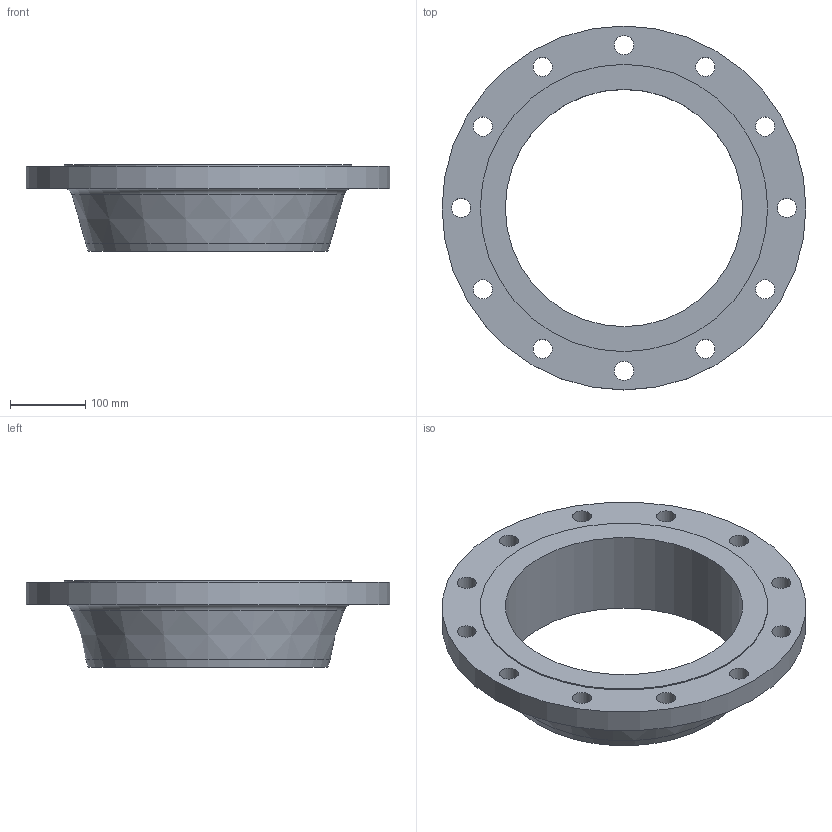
import cadquery as cq

flange_diameter = 482.6
overall_height = 114.3
flange_thickness = 31.8

raised_face_diameter = 381.0
raised_face_height = 1.6

bolt_circle_diameter = 431.8
bolt_hole_diameter = 25.4
bolt_hole_count = 12

bore_diameter = 314.7
neck_end_diameter = 323.8
neck_root_diameter = 365.1
root_fillet_radius = 10.0

weld_land = 1.6
weld_band_height = 10.0

flange_bottom = overall_height - flange_thickness
shoulder_height = overall_height - raised_face_height
bore_radius = bore_diameter / 2
weld_tip_radius = bore_radius + weld_land
neck_end_radius = neck_end_diameter / 2


def make_body():
    """Revolve the neck, flange plate and raised face about Z."""
    return (
        cq.Workplane("XZ")
        .moveTo(bore_radius, 0)
        .lineTo(weld_tip_radius, 0)
        .lineTo(neck_end_radius, weld_band_height)
        .lineTo(neck_root_diameter / 2, flange_bottom)
        .lineTo(flange_diameter / 2, flange_bottom)
        .lineTo(flange_diameter / 2, shoulder_height)
        .lineTo(raised_face_diameter / 2, shoulder_height)
        .lineTo(raised_face_diameter / 2, overall_height)
        .lineTo(bore_radius, overall_height)
        .close()
        .revolve(360, (0, 0, 0), (0, 1, 0))
    )


def fillet_neck_root(body):
    """Round the inside corner between the neck and the flange plate."""
    neck_root_rank = 3
    root_edge = body.edges("%CIRCLE").edges(cq.selectors.RadiusNthSelector(neck_root_rank))
    return root_edge.fillet(root_fillet_radius)


def drill_bolt_holes(body):
    """Drill the ring of bolt holes, with the first on the X axis."""
    holes = (
        cq.Workplane("XY")
        .polarArray(bolt_circle_diameter / 2, 0, 360, bolt_hole_count)
        .circle(bolt_hole_diameter / 2)
        .extrude(overall_height)
    )
    return body.cut(holes)


result = drill_bolt_holes(fillet_neck_root(make_body()))